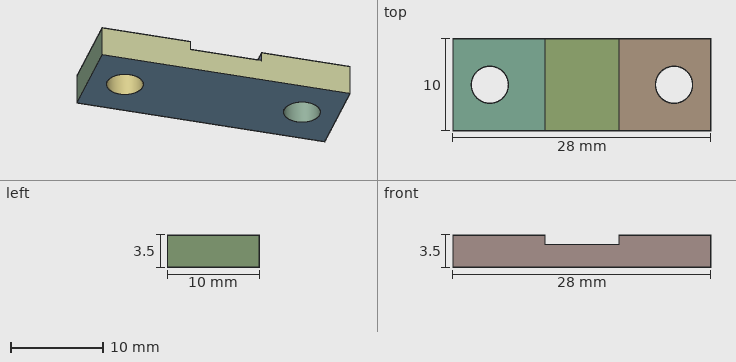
import cadquery as cq

length = 28.0
width = 10.0
height = 3.5
groove_width = 8.0
groove_depth = 1.0
hole_diameter = 4.0
hole_edge_distance = 4.0

hole_spacing = length - 2 * hole_edge_distance

bar = cq.Workplane("XY").box(length, width, height, centered=(True, True, False))

groove = (
    cq.Workplane("XY")
    .workplane(offset=height - groove_depth)
    .rect(groove_width, width)
    .extrude(groove_depth)
)

holes = (
    cq.Workplane("XY")
    .pushPoints([(-hole_spacing / 2, 0), (hole_spacing / 2, 0)])
    .circle(hole_diameter / 2)
    .extrude(height)
)

result = bar.cut(groove).cut(holes)